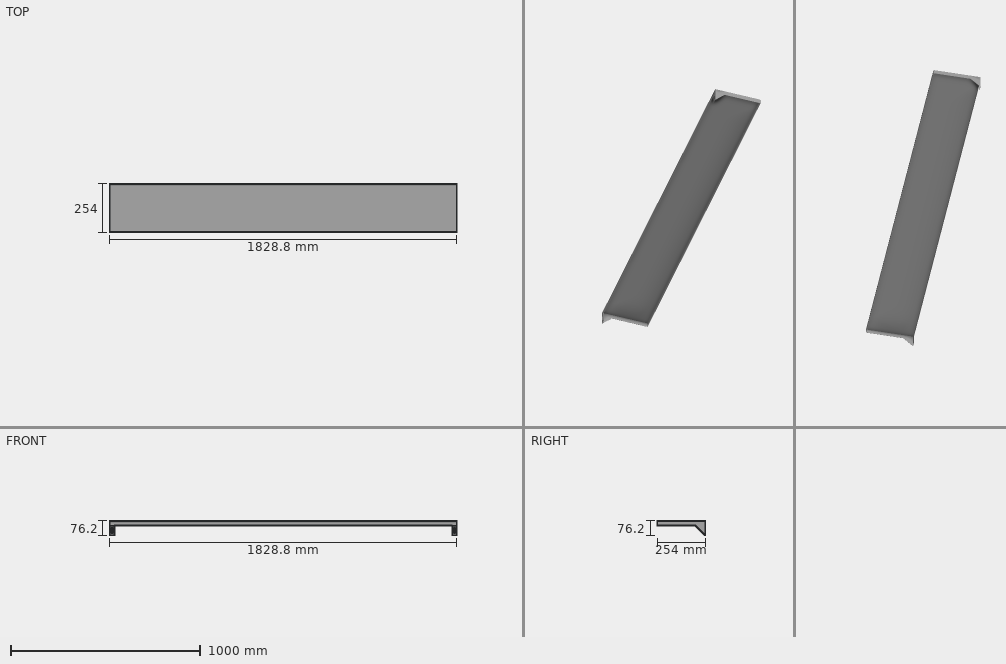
import cadquery as cq

length = 1828.8
depth = 254.0
height = 76.2

sheet = 1.2
bend_radius = 4.0
flange_height = 25.4

tab_width = 25.4
slot_width = 7.14
slot_length = 26.5
slot_center_z = 25.9

plate_gap = 0.5
gusset_toe_depth = 3.0

end_x = length / 2
front_y = -depth / 2
back_y = depth / 2
flange_bottom_z = height - flange_height
gusset_depth = gusset_toe_depth + flange_bottom_z


def make_channel():
    """Shelf sheet with both long edges folded down and a longer tab at each back corner."""
    outer = cq.Workplane("XY").box(length, depth, height, centered=(True, True, False))
    outer = outer.edges("|X and >Z").fillet(bend_radius)
    inner = cq.Workplane("XY").box(
        length, depth - 2 * sheet, height - sheet, centered=(True, True, False)
    )
    inner = inner.edges("|X and >Z").fillet(bend_radius - sheet)
    below_front_flange = (
        cq.Workplane("XY", origin=(0, front_y, 0))
        .box(length, depth - sheet, flange_bottom_z, centered=(True, False, False))
    )
    between_tabs = cq.Workplane("XY").box(
        length - 2 * tab_width, depth, flange_bottom_z, centered=(True, True, False)
    )
    return outer.cut(inner).cut(below_front_flange).cut(between_tabs)


def make_end_plate(start_x):
    """Upright end plate, with a sloped gusset beside the tab and a gap to both flanges."""
    plate_front_y = front_y + sheet + plate_gap
    plate_back_y = back_y - sheet - plate_gap
    plate_top_z = height - sheet
    return (
        cq.Workplane("YZ", origin=(start_x, 0, 0))
        .moveTo(plate_front_y, plate_top_z)
        .lineTo(plate_back_y, plate_top_z)
        .lineTo(plate_back_y, 0)
        .lineTo(back_y - gusset_toe_depth, 0)
        .lineTo(back_y - gusset_depth, flange_bottom_z)
        .lineTo(plate_front_y, flange_bottom_z)
        .close()
        .extrude(sheet)
    )


def make_slot(center_x):
    """Cutter for the vertical round-ended mounting slot in one tab."""
    return (
        cq.Workplane("XZ", origin=(center_x, back_y, slot_center_z))
        .slot2D(slot_length, slot_width, 90)
        .extrude(sheet)
    )


result = make_channel()
for plate_start_x in (-end_x, end_x - sheet):
    result = result.union(make_end_plate(plate_start_x))
for side in (-1, 1):
    result = result.cut(make_slot(side * (end_x - tab_width / 2)))